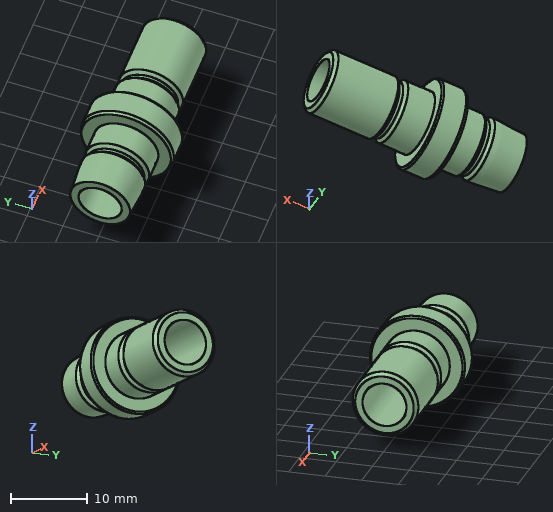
import cadquery as cq


turning_axis = ((0, 0, 0), (1, 0, 0))

length = 29.0
barrel_radius = 9.0 / 2
bore_radius = 6.0 / 2
end_chamfer = 0.5

nose_length = 4.0
nose_tip_radius = 4.18

flange_start = 10.0
flange_width = 4.0
flange_radius = 13.0 / 2
flange_front_chamfer_length = 0.44
flange_back_chamfer_length = 0.25
flange_chamfer_depth = 0.25

groove_starts = (5.0, 18.0)
groove_width = 1.5
groove_depth = 0.5


def make_barrel():
    """Solid barrel with a tapered nose at one end and a chamfer at the other."""
    return (
        cq.Workplane("XY")
        .moveTo(0, 0)
        .lineTo(0, nose_tip_radius)
        .lineTo(nose_length, barrel_radius)
        .lineTo(length - end_chamfer, barrel_radius)
        .lineTo(length, barrel_radius - end_chamfer)
        .lineTo(length, 0)
        .close()
        .revolve(360, *turning_axis)
    )


def make_flange():
    """Disc bevelled on both rims, the front bevel being the longer one."""
    flange_end = flange_start + flange_width
    rim_radius = flange_radius - flange_chamfer_depth
    return (
        cq.Workplane("XY")
        .moveTo(flange_start, 0)
        .lineTo(flange_start, rim_radius)
        .lineTo(flange_start + flange_front_chamfer_length, flange_radius)
        .lineTo(flange_end - flange_back_chamfer_length, flange_radius)
        .lineTo(flange_end, rim_radius)
        .lineTo(flange_end, 0)
        .close()
        .revolve(360, *turning_axis)
    )


def make_groove(start):
    """Ring-shaped cutter for one groove, widest at the barrel surface."""
    end = start + groove_width
    floor_radius = barrel_radius - groove_depth
    return (
        cq.Workplane("XY")
        .moveTo(start, barrel_radius)
        .lineTo(start + groove_depth, floor_radius)
        .lineTo(end - groove_depth, floor_radius)
        .lineTo(end, barrel_radius)
        .close()
        .revolve(360, *turning_axis)
    )


result = make_barrel().union(make_flange())
for groove_start in groove_starts:
    result = result.cut(make_groove(groove_start))

bore = cq.Workplane("YZ").circle(bore_radius).extrude(length)
result = result.cut(bore)